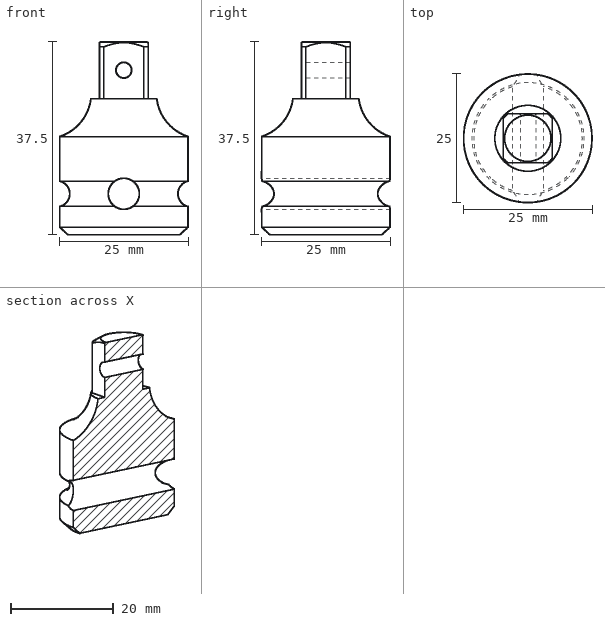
import cadquery as cq

total_height = 37.5
body_diameter = 25.0
body_radius = body_diameter / 2
base_chamfer_height = 1.5
base_chamfer_width = 1.6

groove_bottom = 5.5
groove_top = 10.42
groove_floor_radius = 10.55
pin_hole_diameter = 6.0
pin_hole_height = (groove_bottom + groove_top) / 2

flare_bottom = 19.1
shoulder_height = 26.48
shoulder_radius = 6.4
flare_mid_radius = 8.4
flare_mid_height = 21.85

square_side = 9.52
square_corner_chamfer = 0.7
tip_radius = 4.5
tip_cone_drop = 0.98
tip_cone_radius = 6.15
detent_hole_diameter = 3.0
detent_hole_height = 32.0


def make_body():
    """Revolve the round body, including its groove and flare."""
    return (
        cq.Workplane("XZ")
        .moveTo(0, 0)
        .lineTo(body_radius - base_chamfer_width, 0)
        .lineTo(body_radius, base_chamfer_height)
        .lineTo(body_radius, groove_bottom)
        .threePointArc((groove_floor_radius, pin_hole_height), (body_radius, groove_top))
        .lineTo(body_radius, flare_bottom)
        .threePointArc((flare_mid_radius, flare_mid_height), (shoulder_radius, shoulder_height))
        .lineTo(0, shoulder_height)
        .close()
        .revolve(360, (0, 0, 0), (0, 1, 0))
    )


def make_drive_square():
    """Square with bevelled corners, trimmed by a cone at the tip."""
    square = (
        cq.Workplane("XY")
        .workplane(offset=shoulder_height)
        .rect(square_side, square_side)
        .extrude(total_height - shoulder_height)
        .edges("|Z")
        .chamfer(square_corner_chamfer)
    )
    tip_envelope = (
        cq.Workplane("XZ")
        .moveTo(0, shoulder_height)
        .lineTo(tip_cone_radius, shoulder_height)
        .lineTo(tip_cone_radius, total_height - tip_cone_drop)
        .lineTo(tip_radius, total_height)
        .lineTo(0, total_height)
        .close()
        .revolve(360, (0, 0, 0), (0, 1, 0))
    )
    return square.intersect(tip_envelope)


def make_cross_hole(diameter, height):
    """Cutter running along Y through the whole part."""
    return (
        cq.Workplane("XZ")
        .center(0, height)
        .circle(diameter / 2)
        .extrude(body_radius, both=True)
    )


result = (
    make_body()
    .union(make_drive_square())
    .cut(make_cross_hole(pin_hole_diameter, pin_hole_height))
    .cut(make_cross_hole(detent_hole_diameter, detent_hole_height))
)